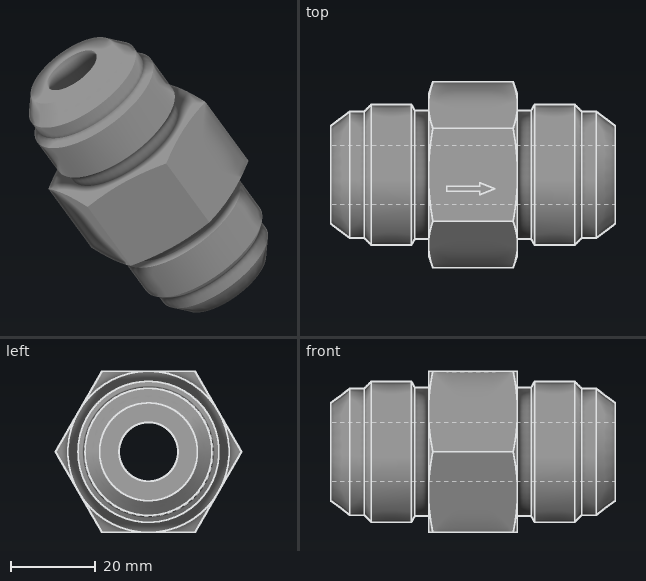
import cadquery as cq
import math

length = 67.3
hex_across_flats = 38.1
hex_width = 21.0
bore_dia = 13.85

hex_chamfer_depth = 1.0

neck_dia = 30.4
thread_dia = 33.3
nose_dia = 30.0
thread_start = 13.7
thread_end = 25.65
nose_cone_length = 4.6
nose_cone_angle = 37.0
inner_chamfer_length = 0.8

arrow_tail_x = -6.2
arrow_neck_x = 1.6
arrow_tip_x = 5.1
arrow_y = -3.3
arrow_shaft_width = 1.2
arrow_head_width = 2.8
arrow_depth = 0.15


def hex_body():
    """Hexagon along X with flats facing +Z and -Z, cut by a cone at each end."""
    hex_corner_dia = hex_across_flats / math.cos(math.radians(30))
    prism = (
        cq.Workplane("YZ")
        .polygon(6, hex_corner_dia)
        .extrude(hex_width / 2, both=True)
    )
    flat_radius = hex_across_flats / 2
    corner_radius = hex_corner_dia / 2
    end_x = hex_width / 2
    shoulder_x = end_x - hex_chamfer_depth
    chamfer_envelope = (
        cq.Workplane("XY")
        .moveTo(-end_x, 0)
        .lineTo(-end_x, flat_radius)
        .lineTo(-shoulder_x, corner_radius)
        .lineTo(shoulder_x, corner_radius)
        .lineTo(end_x, flat_radius)
        .lineTo(end_x, 0)
        .close()
        .revolve(360, (0, 0, 0), (1, 0, 0))
    )
    return prism.intersect(chamfer_envelope)


def threaded_end():
    """Neck, thread cylinder and coned nose on the +X side."""
    end_x = length / 2
    neck_radius = neck_dia / 2
    thread_radius = thread_dia / 2
    nose_radius = nose_dia / 2
    outer_chamfer = thread_radius - nose_radius
    cone_drop = nose_cone_length * math.tan(math.radians(nose_cone_angle))
    return (
        cq.Workplane("XY")
        .lineTo(0, neck_radius)
        .lineTo(thread_start, neck_radius)
        .lineTo(thread_start + inner_chamfer_length, thread_radius)
        .lineTo(thread_end - outer_chamfer, thread_radius)
        .lineTo(thread_end, nose_radius)
        .lineTo(end_x - nose_cone_length, nose_radius)
        .lineTo(end_x, nose_radius - cone_drop)
        .lineTo(end_x, 0)
        .close()
        .revolve(360, (0, 0, 0), (1, 0, 0))
    )


def flow_arrow():
    """Shallow arrow-shaped cutter just below the top flat."""
    half_shaft = arrow_shaft_width / 2
    half_head = arrow_head_width / 2
    return (
        cq.Workplane("XY", origin=(0, arrow_y, hex_across_flats / 2))
        .moveTo(arrow_tail_x, -half_shaft)
        .lineTo(arrow_neck_x, -half_shaft)
        .lineTo(arrow_neck_x, -half_head)
        .lineTo(arrow_tip_x, 0)
        .lineTo(arrow_neck_x, half_head)
        .lineTo(arrow_neck_x, half_shaft)
        .lineTo(arrow_tail_x, half_shaft)
        .close()
        .extrude(-arrow_depth)
    )


right_end = threaded_end()
left_end = right_end.mirror("YZ")
bore = cq.Workplane("YZ").circle(bore_dia / 2).extrude(length / 2, both=True)

result = hex_body().union(right_end).union(left_end).cut(bore).cut(flow_arrow())